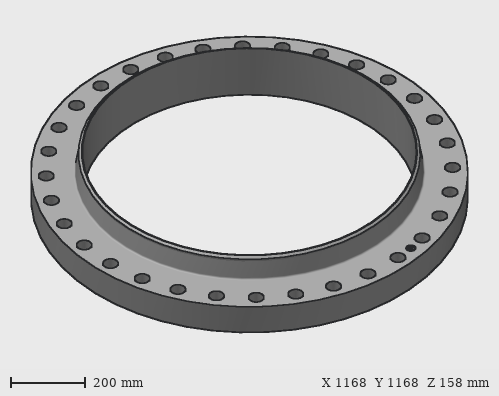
import cadquery as cq
import math

flange_radius = 584.0
flange_top = 90.0
raised_face_radius = 510.0
raised_face_height = 2.0

total_height = 158.0
bore_radius = 446.0
neck_radius = 457.0
neck_straight_length = 7.0
hub_base_radius = 466.0
hub_fillet_radius = 6.0
weld_land_width = 2.0
weld_bevel_angle = 37.5

bolt_count = 32
bolt_circle_radius = 543.0
bolt_hole_diameter = 41.0
bolt_pitch_angle = 360 / bolt_count

recess_angle = bolt_pitch_angle / 2
recess_top_radius = 13.0
recess_floor_radius = 9.0
recess_depth = 2.0
pilot_radius = 4.0
pilot_depth = 5.0


def revolve_about_z(section):
    """Turn a closed (radius, height) section into a solid of revolution."""
    return cq.Workplane("XZ").polyline(section).close().revolve(360, (0, 0), (0, 1))


def flange_ring():
    """Flange, raised face, conical hub and bevelled weld end in one turned body."""
    land_radius = bore_radius + weld_land_width
    bevel_height = (neck_radius - land_radius) * math.tan(math.radians(weld_bevel_angle))
    bevel_bottom = total_height - bevel_height
    section = [
        (bore_radius, 0),
        (raised_face_radius, 0),
        (raised_face_radius, raised_face_height),
        (flange_radius, raised_face_height),
        (flange_radius, flange_top),
        (hub_base_radius, flange_top),
        (neck_radius, bevel_bottom - neck_straight_length),
        (neck_radius, bevel_bottom),
        (land_radius, total_height),
        (bore_radius, total_height),
    ]
    ring = revolve_about_z(section)
    reach = hub_base_radius + hub_fillet_radius
    hub_corner = ring.edges(
        cq.selectors.BoxSelector(
            (-reach, -reach, flange_top - hub_fillet_radius),
            (reach, reach, flange_top + hub_fillet_radius),
            boundingbox=True,
        )
    )
    return hub_corner.fillet(hub_fillet_radius)


def bolt_holes():
    """Through holes on the bolt circle, the first one on +X."""
    return (
        cq.Workplane("XY")
        .polarArray(bolt_circle_radius, 0, 360, bolt_count)
        .circle(bolt_hole_diameter / 2)
        .extrude(total_height)
    )


def countersunk_recess():
    """Shallow conical recess with a flat floor and a small pilot hole at its centre."""
    floor = flange_top - recess_depth
    pilot_bottom = floor - pilot_depth
    section = [
        (0, flange_top),
        (recess_top_radius, flange_top),
        (recess_floor_radius, floor),
        (pilot_radius, floor),
        (pilot_radius, pilot_bottom),
        (0, pilot_bottom),
    ]
    recess = revolve_about_z(section).translate((bolt_circle_radius, 0, 0))
    return recess.rotate((0, 0, 0), (0, 0, 1), recess_angle)


result = flange_ring().cut(bolt_holes()).cut(countersunk_recess())